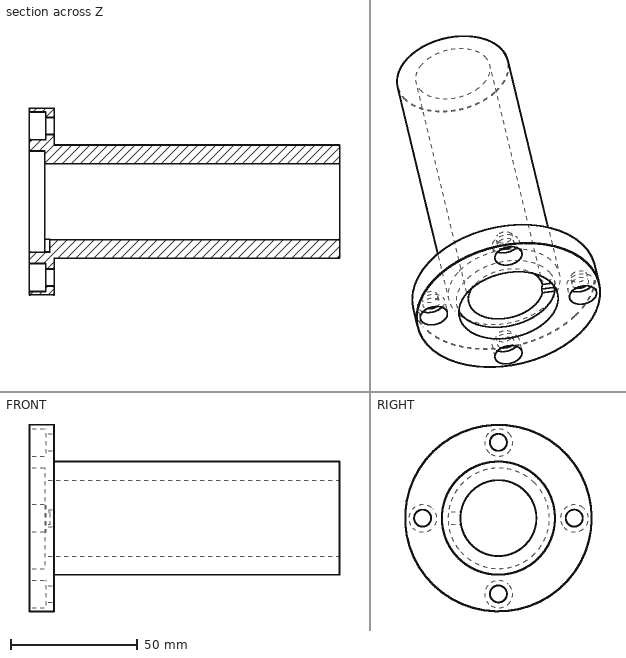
import cadquery as cq

total_length = 123.0
flange_diameter = 74.0
flange_thickness = 10.0
tube_diameter = 45.0
bore_diameter = 30.0
edge_chamfer = 0.2

recess_diameter = 40.0
recess_depth = 6.2

slot_width = 5.0
slot_depth = 2.0

bolt_circle_diameter = 60.0
bolt_count = 4
bolt_hole_diameter = 6.6
counterbore_diameter = 11.0
counterbore_depth = 6.5


def cylinder(diameter, start, length):
    """Cylinder along +X whose first end lies at X = start."""
    return cq.Workplane("YZ", origin=(start, 0, 0)).circle(diameter / 2).extrude(length)


def make_flange():
    """Disc with both rims chamfered."""
    return cylinder(flange_diameter, 0, flange_thickness).edges().chamfer(edge_chamfer)


def make_tube():
    """Plain tube body with its free end chamfered."""
    return cylinder(tube_diameter, 0, total_length).faces(">X").edges().chamfer(edge_chamfer)


def make_shoulder_slot():
    """Radial slot sunk into the recess floor, running from the bore toward -Y."""
    radial_box = cq.Workplane("XY").box(
        slot_depth, recess_diameter / 2, slot_width, centered=(False, False, True)
    ).translate((recess_depth, -recess_diameter / 2, 0))
    return radial_box.intersect(cylinder(recess_diameter, recess_depth, slot_depth))


def cut_bolt_holes(body):
    """Counterbored through holes, opening on the flange face."""
    return (
        body.faces("<X").workplane(origin=(0, 0, 0))
        .polarArray(bolt_circle_diameter / 2, 0, 360, bolt_count)
        .cboreHole(bolt_hole_diameter, counterbore_diameter, counterbore_depth, depth=flange_thickness)
    )


body = cut_bolt_holes(make_flange()).union(make_tube())
body = body.cut(cylinder(bore_diameter, 0, total_length))
body = body.cut(cylinder(recess_diameter, 0, recess_depth))
result = body.cut(make_shoulder_slot())